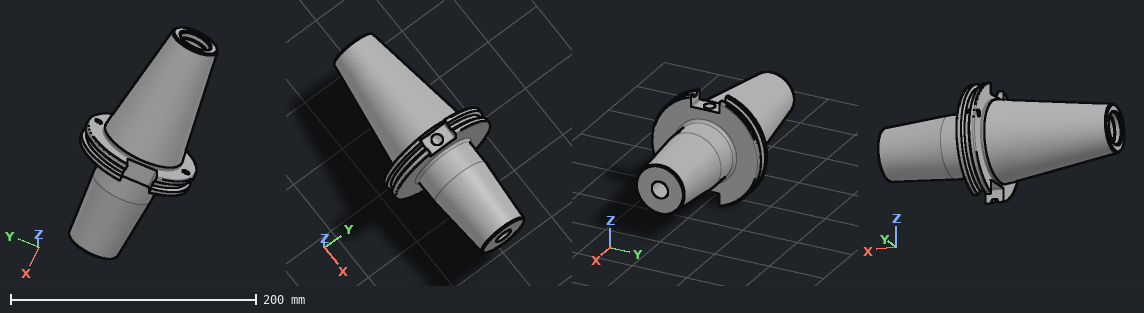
import cadquery as cq
import math

total_length = 201.5
taper_length = 101.6
gauge_diameter = 70.0
taper_ratio = 7 / 24
small_end_diameter = gauge_diameter - taper_ratio * taper_length
shank_chamfer = 1.0

neck_diameter = 69.4
neck_start = 102.8
neck_fillet = 0.6

flange_start = 104.8
flange_end = 120.8
flange_diameter = 98.2
flange_edge_radius = 1.0
groove_center = 112.7
groove_floor_width = 3.6
groove_floor_diameter = 92.0
groove_half_angle = 30.0

nose_diameter = 53.0
nose_end_diameter = 44.4
nose_cone_start = 144.0
nose_fillet = 2.5
nose_chamfer = 1.0

mouth_diameter = 26.2
mouth_chamfer = 1.2
mouth_depth = 5.8
thread_diameter = 22.0
thread_depth = 40.3
coolant_diameter = 15.0
drill_tip_half_angle = 59.0

slot_width = 26.2
slot_corner_radius = 0.8
upper_slot_floor = 38.0
lower_slot_floor = 35.5

dimple_diameter = 9.5

port_angle = 20.0
port_circle_radius = 41.7
port_tilt = 32.0
port_diameter = 5.0
port_depth = 1.8
passage_diameter = 4.2
passage_depth = 13.1
cross_hole_diameter = 3.2


def tip_length(radius_drop):
    """Axial length of a drill-tip cone that narrows by radius_drop."""
    return radius_drop / math.tan(math.radians(drill_tip_half_angle))


def make_body():
    """Solid of revolution about X, without bore or slots."""
    small_radius = small_end_diameter / 2
    neck_radius = neck_diameter / 2
    flange_radius = flange_diameter / 2
    rim_radius = flange_radius - flange_edge_radius
    groove_radius = groove_floor_diameter / 2
    nose_radius = nose_diameter / 2
    nose_end_radius = nose_end_diameter / 2

    floor_half = groove_floor_width / 2
    groove_depth = flange_radius - groove_radius
    mouth_half = floor_half + groove_depth * math.tan(math.radians(groove_half_angle))

    chamfer_end_radius = small_radius + taper_ratio * shank_chamfer / 2
    nose_slope = (nose_radius - nose_end_radius) / (total_length - nose_cone_start)
    chamfer_start_radius = nose_end_radius + nose_slope * nose_chamfer

    profile = (
        cq.Workplane("XY")
        .moveTo(0, 0)
        .lineTo(0, small_radius - shank_chamfer)
        .lineTo(shank_chamfer, chamfer_end_radius)
        .lineTo(taper_length, gauge_diameter / 2)
        .lineTo(neck_start, neck_radius)
        .lineTo(flange_start - neck_fillet, neck_radius)
        .radiusArc((flange_start, neck_radius + neck_fillet), -neck_fillet)
        .lineTo(flange_start, rim_radius)
        .radiusArc((flange_start + flange_edge_radius, flange_radius), flange_edge_radius)
        .lineTo(groove_center - mouth_half, flange_radius)
        .lineTo(groove_center - floor_half, groove_radius)
        .lineTo(groove_center + floor_half, groove_radius)
        .lineTo(groove_center + mouth_half, flange_radius)
        .lineTo(flange_end - flange_edge_radius, flange_radius)
        .radiusArc((flange_end, rim_radius), flange_edge_radius)
        .lineTo(flange_end, nose_radius + nose_fillet)
        .radiusArc((flange_end + nose_fillet, nose_radius), -nose_fillet)
        .lineTo(nose_cone_start, nose_radius)
        .lineTo(total_length - nose_chamfer, chamfer_start_radius)
        .lineTo(total_length, nose_end_radius - nose_chamfer)
        .lineTo(total_length, 0)
        .close()
    )
    return profile.revolve(360, (0, 0, 0), (1, 0, 0))


def make_bore():
    """Cutter for the through bore along X."""
    mouth_radius = mouth_diameter / 2
    thread_radius = thread_diameter / 2
    coolant_radius = coolant_diameter / 2
    tip_end = thread_depth + tip_length(thread_radius - coolant_radius)
    profile = (
        cq.Workplane("XY")
        .moveTo(0, 0)
        .lineTo(0, mouth_radius + mouth_chamfer)
        .lineTo(mouth_chamfer, mouth_radius)
        .lineTo(mouth_depth, mouth_radius)
        .lineTo(mouth_depth, thread_radius)
        .lineTo(thread_depth, thread_radius)
        .lineTo(tip_end, coolant_radius)
        .lineTo(total_length, coolant_radius)
        .lineTo(total_length, 0)
        .close()
    )
    return profile.revolve(360, (0, 0, 0), (1, 0, 0))


def make_slot(floor_height):
    """Slot cutter above the axis, with rounded floor corners along X."""
    height = flange_diameter / 2
    length = flange_end - flange_start
    slot = cq.Workplane("XY").box(length, slot_width, height, centered=(False, True, False))
    slot = slot.edges("|X and <Z").fillet(slot_corner_radius)
    return slot.translate((flange_start, 0, floor_height))


def make_dimple():
    """Conical cutter pointing down from the upper slot floor."""
    radius = dimple_diameter / 2
    profile = (
        cq.Workplane("XZ")
        .moveTo(0, upper_slot_floor)
        .lineTo(radius, upper_slot_floor)
        .lineTo(0, upper_slot_floor - tip_length(radius))
        .close()
    )
    dimple = profile.revolve(360, (0, 0, 0), (0, 1, 0))
    return dimple.translate((groove_center, 0, 0))


def make_port():
    """Cutter for one coolant port lying in the XY plane on the +Y side."""
    tilt = math.radians(port_tilt)
    entry = cq.Vector(flange_start, port_circle_radius, 0)
    direction = cq.Vector(math.cos(tilt), -math.sin(tilt), 0)
    meeting_radius = port_circle_radius - (groove_center - flange_start) * math.tan(tilt)

    lead_in = port_diameter
    start = entry - direction * lead_in
    mouth = cq.Solid.makeCylinder(port_diameter / 2, lead_in + port_depth, start, direction)
    passage = cq.Solid.makeCylinder(passage_diameter / 2, passage_depth, entry, direction)
    cross_hole = cq.Solid.makeCylinder(
        cross_hole_diameter / 2,
        flange_diameter / 2 - meeting_radius,
        cq.Vector(groove_center, meeting_radius, 0),
        cq.Vector(0, 1, 0),
    )
    return cq.Workplane(mouth).union(cq.Workplane(passage)).union(cq.Workplane(cross_hole))


result = make_body().cut(make_bore())
result = result.cut(make_slot(upper_slot_floor))
result = result.cut(make_slot(lower_slot_floor).rotate((0, 0, 0), (1, 0, 0), 180))
result = result.cut(make_dimple())
for turn in (0, 180):
    result = result.cut(make_port().rotate((0, 0, 0), (1, 0, 0), port_angle + turn))